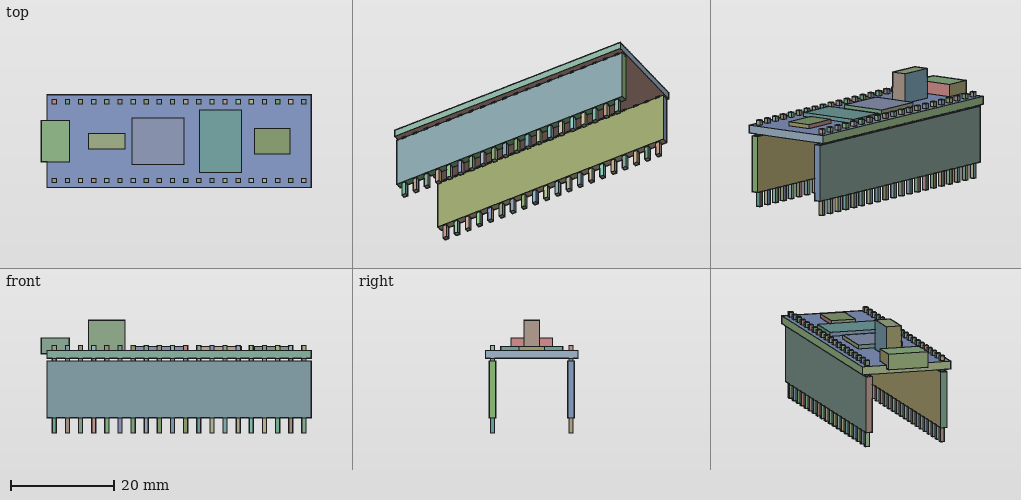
import cadquery as cq


board_length = 51.15
board_width = 18.0
board_thickness = 1.55
board_left = -board_length / 2

pins_per_row = 20
pin_row_length = 48.3
pin_pitch = pin_row_length / (pins_per_row - 1)
row_spacing = 15.2
pin_side = 0.85
pin_height_above_board = 0.95
pin_length_below_strip = 3.0
strip_width = 1.3
strip_height = 11.0
strip_gap = 0.45
strip_bottom = -strip_gap - strip_height
pin_bottom = strip_bottom - pin_length_below_strip
pin_top = board_thickness + pin_height_above_board

button_offset = 8.05
button_length = 7.1
button_width = 3.05
overall_height = 21.9
button_height = overall_height + pin_bottom - board_thickness

chip_height = 0.8
processor_offset = 16.5
processor_length = 10.05
processor_width = 9.0
memory_offset = 29.55
memory_length = 8.05
memory_width = 12.05
small_chip_offset = 40.15
small_chip_length = 6.95
small_chip_width = 4.9

usb_overhang = 1.1
usb_length = 5.45
usb_width = 8.05
usb_height = 3.1
usb_sink = 0.7


def block(x_start, y_centre, z_bottom, length, width, height):
    """Box that starts at x_start, is centred on y_centre and stands on z_bottom."""
    return (
        cq.Workplane("XY")
        .box(length, width, height, centered=(False, True, False))
        .translate((x_start, y_centre, z_bottom))
    )


def surface_part(offset, length, width, height):
    """Box on top of the board, on its centreline."""
    return block(board_left + offset, 0, board_thickness, length, width, height)


def pin_header(y_row):
    """Plastic strip and its row of pins."""
    header = block(board_left, y_row, strip_bottom, board_length, strip_width, strip_height)
    pins = (
        cq.Workplane("XY", origin=(0, y_row, pin_bottom))
        .rarray(pin_pitch, 0.5, pins_per_row, 1)
        .rect(pin_side, pin_side)
        .extrude(pin_top - pin_bottom)
    )
    return header.union(pins)


def make_usb_connector():
    usb_bottom = board_thickness - usb_sink
    return block(board_left - usb_overhang, 0, usb_bottom, usb_length, usb_width, usb_height)


def make_board_assembly(connector):
    """Board with its headers, button and chips, and a recess that fits the connector."""
    assembly = block(board_left, 0, 0, board_length, board_width, board_thickness)
    for side in (-1, 1):
        assembly = assembly.union(pin_header(side * row_spacing / 2))
    assembly = assembly.union(surface_part(button_offset, button_length, button_width, button_height))
    assembly = assembly.union(surface_part(processor_offset, processor_length, processor_width, chip_height))
    assembly = assembly.union(surface_part(memory_offset, memory_length, memory_width, chip_height))
    assembly = assembly.union(surface_part(small_chip_offset, small_chip_length, small_chip_width, chip_height))
    return assembly.cut(connector).solids()


usb_connector = make_usb_connector()
board_assembly = make_board_assembly(usb_connector)

result = cq.Compound.makeCompound([board_assembly.val(), usb_connector.val()])